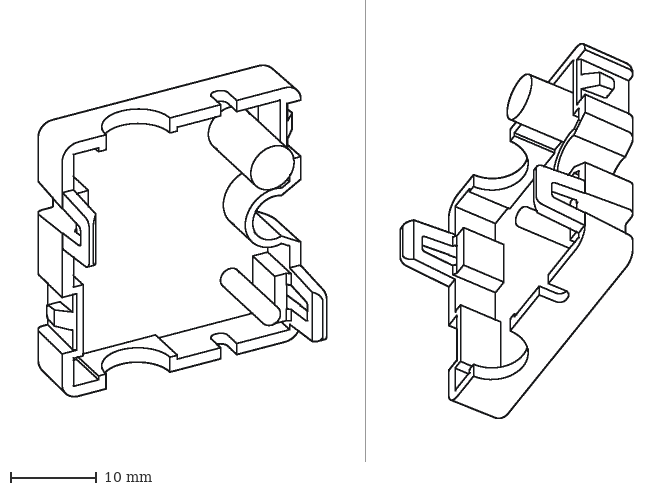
import cadquery as cq
import math


height = 34.0
width = 31.5
rim_x = 6.95
wall = 1.5
floor = 1.5
draft = 1.0
corner_radius = 2.0
back_radius = 1.02
half_height = height / 2
half_width = width / 2

overshoot = 0.35

front_spacing = 7.0
rear_spacing = 11.0
side_taper = math.tan(math.radians(5))
liner = 1.0

clip_tip_x = 13.5
clip_root_half = 3.77
clip_thickness = 1.43
clip_inset = 0.07
clip_corner_radius = 1.0
clip_bevel_length = 1.02
clip_bevel_drop = 0.9
gusset_half = 3.15
gusset_length = 0.35
gusset_depth = 1.95

window_end_x = 11.35
window_back_half = 2.25
window_back_depth = 2.48
window_edge_radius = 0.17
window_corner_radius = 0.45

recess_half = 3.77
recess_back_depth = 1.77
recess_end_depth = 1.55
recess_end_x = 6.55

catch_start_x = 3.0
catch_ramp_x = 4.9
catch_root_half = 1.22
catch_corner_radius = 0.4

cable_y = -5.75
cable_radius = 4.2
cable_pad = 2.0
slot_y = 6.22
slot_width = 2.1
slot_bottom_x = 3.8
slot_radius = 0.92

bay_y = 12.25
bay_radius = 2.85
bay_throat_y = 13.15
bay_mouth_half = 4.2

post_y = 9.28
post_z = 10.0
post_end_x = 12.0
thick_post_radius = 2.85
thin_post_radius = 1.25
thin_post_tip_radius = 0.5


def box(x_range, y_range, z_range):
    """Axis-aligned box between the given limits."""
    size = [b - a for a, b in (x_range, y_range, z_range)]
    corner = (x_range[0], y_range[0], z_range[0])
    return cq.Workplane("XY").box(*size, centered=False).translate(corner)


def plan_prism(points, half):
    """Outline in X and Y, extruded evenly to Z = -half and Z = +half."""
    return cq.Workplane("XY").polyline(points).close().extrude(half, both=True)


def side_prism(points, reach):
    """Outline in X and Z, extruded from the Y = 0 plane out to Y = -reach."""
    return cq.Workplane("XZ").polyline(points).close().extrude(reach)


def tapered_outline(x_start, half_start, x_end, slope):
    """Trapezoid in X and Z, centred on Z = 0, growing by slope on each edge."""
    half_end = half_start + slope * (x_end - x_start)
    return [(x_start, -half_start), (x_end, -half_end), (x_end, half_end), (x_start, half_start)]


def at_depth(depth):
    """Y position at a depth below the front (-Y) side wall."""
    return depth - half_width


def on_both_sides(make):
    """Feature built at the front side, placed on the front and mirrored to the rear."""
    return make(front_spacing).union(make(-rear_spacing).mirror("XZ"))


def make_block():
    spread = 2 * rim_x * math.tan(math.radians(draft))
    back = cq.Sketch().rect(width - spread, height - spread).vertices().fillet(corner_radius)
    block = cq.Workplane("YZ").placeSketch(back).extrude(rim_x, taper=-draft)
    return block.faces("<X").edges().fillet(back_radius)


block = make_block()
inner_y = half_width - wall
inner_z = half_height - wall
cavity = box((floor, rim_x), (-inner_y, inner_y), (-inner_z, inner_z))
shell = block.cut(cavity)


def make_liners(spacing):
    clip_liner = box(
        (0, rim_x),
        (at_depth(0), at_depth(window_back_depth + liner)),
        (spacing - gusset_half, spacing + gusset_half),
    )
    recess_reach = recess_half + liner
    recess_liner = box(
        (0, rim_x),
        (at_depth(0), at_depth(recess_back_depth + liner)),
        (-spacing - recess_reach, -spacing + recess_reach),
    )
    return clip_liner.union(recess_liner)


def make_bay(margin):
    """Round bay with a flared mouth, grown outward by the margin."""
    throat_half = math.sqrt(bay_radius**2 - (bay_throat_y - bay_y) ** 2) + margin
    mouth_half = bay_mouth_half + margin
    bore = cq.Workplane("YZ").center(bay_y, 0).circle(bay_radius + margin).extrude(rim_x)
    flare = (
        cq.Workplane("YZ")
        .polyline(
            [
                (bay_throat_y, -throat_half),
                (half_width, -mouth_half),
                (half_width, mouth_half),
                (bay_throat_y, throat_half),
            ]
        )
        .close()
        .extrude(rim_x)
    )
    throat = box((0, rim_x), (bay_y, bay_throat_y), (-throat_half, throat_half))
    return bore.union(throat).union(flare)


pad_half = cable_radius + liner
pad = box((0, rim_x), (cable_y - pad_half, cable_y + pad_half), (half_height - cable_pad, half_height))
linings = on_both_sides(make_liners).union(make_bay(liner)).union(pad).union(pad.mirror("XY"))
shell = shell.union(linings.intersect(block))


def make_recess(spacing):
    """Side opening whose back wall slopes inward again just before the rim."""
    ramp_slope = (recess_end_depth - clip_inset) / (recess_end_x - catch_ramp_x)
    rim_depth = recess_end_depth + ramp_slope * (rim_x - recess_end_x)
    outline = [
        (0, at_depth(-overshoot)),
        (0, at_depth(recess_back_depth)),
        (recess_end_x, at_depth(recess_end_depth)),
        (rim_x, at_depth(rim_depth)),
        (rim_x, at_depth(-overshoot)),
    ]
    return plan_prism(outline, recess_half).translate((0, 0, -spacing))


shell = shell.cut(on_both_sides(make_recess))


def make_catch(spacing):
    start_half = catch_root_half - side_taper * (recess_end_x - catch_start_x)
    outline = tapered_outline(catch_start_x, start_half, recess_end_x, side_taper)
    wedge = side_prism(outline, half_width).edges("|Y and <X").fillet(catch_corner_radius)
    profile = [
        (catch_start_x, at_depth(recess_back_depth)),
        (catch_start_x, at_depth(clip_inset)),
        (catch_ramp_x, at_depth(clip_inset)),
        (recess_end_x, at_depth(recess_end_depth)),
        (recess_end_x, at_depth(recess_back_depth)),
    ]
    return wedge.intersect(plan_prism(profile, recess_half)).translate((0, 0, -spacing))


def make_clip(spacing):
    root_x = rim_x - liner
    root_half = clip_root_half + side_taper * liner
    outline = tapered_outline(root_x, root_half, clip_tip_x, -side_taper)
    plate = side_prism(outline, half_width).edges("|Y and >X").fillet(clip_corner_radius)
    inner_depth = clip_inset + clip_thickness
    profile = [
        (root_x, at_depth(clip_inset)),
        (clip_tip_x, at_depth(clip_inset)),
        (clip_tip_x, at_depth(inner_depth - clip_bevel_drop)),
        (clip_tip_x - clip_bevel_length, at_depth(inner_depth)),
        (root_x, at_depth(inner_depth)),
    ]
    gusset_profile = [
        (rim_x, at_depth(clip_inset)),
        (rim_x + gusset_length, at_depth(clip_inset)),
        (rim_x + gusset_length, at_depth(inner_depth)),
        (rim_x, at_depth(gusset_depth)),
    ]
    clip = plate.intersect(plan_prism(profile, root_half))
    return clip.union(plan_prism(gusset_profile, gusset_half)).translate((0, 0, spacing))


def make_window(spacing):
    """Wedge-shaped opening from the back face to the rim, then on through the clip."""
    back_outline = tapered_outline(0, window_back_half, rim_x, -side_taper)
    profile = [
        (0, at_depth(-overshoot)),
        (0, at_depth(window_back_depth)),
        (rim_x, at_depth(window_back_depth - side_taper * rim_x)),
        (rim_x, at_depth(-overshoot)),
    ]
    pocket = side_prism(back_outline, half_width + overshoot).intersect(plan_prism(profile, window_back_half))
    pocket = pocket.faces(">Y").edges("not |Z").fillet(window_edge_radius)
    rim_half = window_back_half - side_taper * rim_x
    clip_outline = tapered_outline(rim_x, rim_half, window_end_x, -side_taper)
    opening = side_prism(clip_outline, half_width).edges("|Y and >X").fillet(window_corner_radius)
    return pocket.union(opening).translate((0, 0, spacing))


def make_post(radius, z):
    return cq.Workplane("YZ").center(post_y, z).circle(radius).extrude(post_end_x)


thick_post = make_post(thick_post_radius, post_z)
thin_post = make_post(thin_post_radius, -post_z).faces(">X").edges().fillet(thin_post_tip_radius)


cable_notch = (
    cq.Workplane("XY").center(rim_x, cable_y).circle(cable_radius).extrude(half_height, both=True)
)
slot_notch = (
    box(
        (slot_bottom_x, rim_x),
        (slot_y - slot_width / 2, slot_y + slot_width / 2),
        (-half_height, half_height),
    )
    .edges("|Z and <X")
    .fillet(slot_radius)
)

result = (
    shell.cut(make_bay(0))
    .cut(cable_notch)
    .cut(slot_notch)
    .union(on_both_sides(make_catch))
    .union(on_both_sides(make_clip))
    .cut(on_both_sides(make_window))
    .union(thick_post)
    .union(thin_post)
)